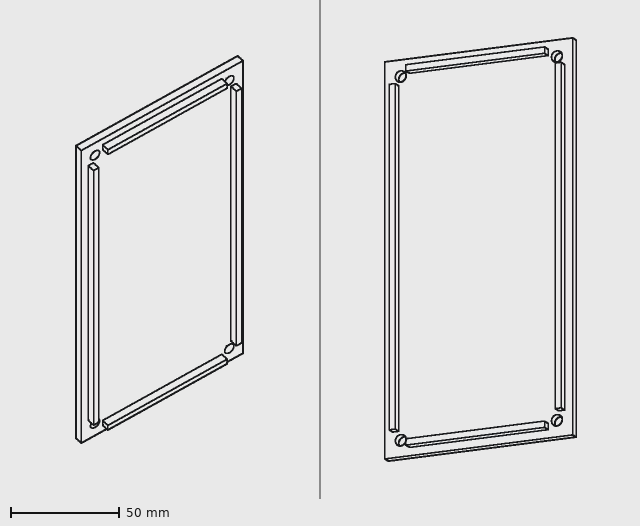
import cadquery as cq

height = 192.0
width = 95.0
total_depth = 8.0
plate_thickness = 4.0

hole_diameter = 5.4
hole_inset = 8.0

rib_thickness = 3.0
rib_edge_gap = 4.0
rib_end_gap = 12.5
rib_depth = total_depth - plate_thickness


def make_plate():
    """Rectangular plate with a through hole in each corner."""
    plate = cq.Workplane("YZ").rect(width, height).extrude(plate_thickness)
    holes = (
        cq.Workplane("YZ")
        .rect(width - 2 * hole_inset, height - 2 * hole_inset, forConstruction=True)
        .vertices()
        .circle(hole_diameter / 2)
        .extrude(plate_thickness)
    )
    return plate.cut(holes)


def make_rib(center_y, center_z, size_y, size_z):
    """Straight rib standing on the +X face of the plate."""
    return (
        cq.Workplane("YZ", origin=(plate_thickness, center_y, center_z))
        .rect(size_y, size_z)
        .extrude(rib_depth)
    )


rib_inset = rib_edge_gap + rib_thickness / 2
rib_y = width / 2 - rib_inset
rib_z = height / 2 - rib_inset
long_rib_length = height - 2 * rib_end_gap
short_rib_length = width - 2 * rib_end_gap

result = make_plate()
for side in (-1, 1):
    result = result.union(make_rib(side * rib_y, 0, rib_thickness, long_rib_length))
    result = result.union(make_rib(0, side * rib_z, short_rib_length, rib_thickness))